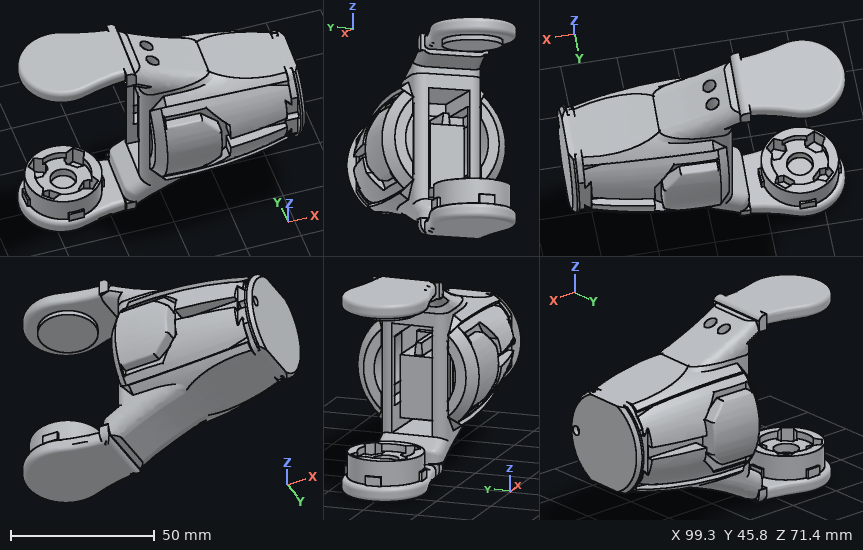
import cadquery as cq
import math

LINK_TILT = -1.6
SOCKET_TURN = 3.0

PADDLE_Z = 35.7
PADDLE_THICK = 5.5
PADDLE_ROUND = 1.8
PADDLE_RADIUS = 15.4
PADDLE_ARC_X = -0.6
PADDLE_SHOULDER = (4.2, 14.4)
PADDLE_WAIST = (11.3, 12.4)
PADDLE_ROOT = (21.4, 10.9)
HUB_RADIUS = 10.5
HUB_THICK = 1.8

SOCKET_RADIUS = 13.5
SOCKET_HEIGHT = 8.9
SOCKET_POCKET_RADIUS = 9.9
SOCKET_POCKET_DEPTH = 2.7
SOCKET_HOLE_RADIUS = 4.6
SOCKET_HOLE_DEPTH = 6.0
NOTCH_ROOT = (6.9, 2.1)
NOTCH_INNER = (8.4, 3.6)
NOTCH_OUTER = (12.4, 2.2)
NOTCH_DEPTH = 6.9
KEY_RADIUS = 14.2
KEY_WIDTH = 5.6
KEY_HEIGHT = 3.3
QUARTER_TURN = 90
NOTCH_START_ANGLE = 45

FRAME_WIDTH = 25.0
ARM_START_X = 19.3
COLLAR_TOP_X = 20.7
COLLAR_CREST = (22.0, 35.1)
COLLAR_FOOT = (22.8, 34.0)
COLLAR_BOTTOM_Z = 29.8
LOWER_COLLAR_ROUND = 4.0
SLOPE_TOP = (25.5, 33.7)
SLOPE_END = (39.8, 26.7)
CURVE_MID = (60.0, 20.3)
FRONT_X = 25.2
UPPER_ARM_UNDERSIDE = (28.6, 25.2)
LOWER_ARM_TOPSIDE = (-25.2, -21.7)
NOSE_ROUND = 1.5
TOP_ROUND = 5.5
POST_ROUND = 4.0
SPLIT_Z = 22.8
SCREW_X = 31.4
SCREW_Y = 3.7
SCREW_DIAMETER = 4.4

COVER_ANGLE = 50.0
BARREL_START = (27.8, 19.2)
COVER_SHOULDER = (31.2, 22.7)
COVER_MID = (55.6, 21.9)
COVER_END = (78.2, 17.7)
LIP_HEIGHT = 1.6
COVER_BORE_RADIUS = 15.2
HOOK_X = 76.0
HOOK_BASE = 8.7
HOOK_MOUTH = 6.6

GROOVE_FLOOR = 16.0
GROOVE_START_X = 31.8
GROOVE_OUTER = [(47.0, 15.1), (54.4, 7.6)]
GROOVE_INNER = [(45.0, 12.1), (51.3, 6.1)]
CHANNEL_HALF = 2.3
ISLAND_ROUND = 1.0

NECK_RADIUS = 18.1
NECK_FLAT = 15.7
NECK_GROOVE_RADIUS = 1.7
NECK_GROOVE_Y = 15.1
FLANGE_START_X = 80.6
FLANGE_END_X = 82.8
FLANGE_RADIUS = 19.1
FLANGE_HALF_HEIGHT = 16.2
FLANGE_CHAMFER = 1.4

POCKET_HALF_WIDTH = 7.5
POCKET_TOP = 17.8
POCKET_END_X = 47.2
DEEP_POCKET_BOTTOM = 12.4
SIDE_OPENING_X = (27.8, POCKET_END_X)
SIDE_OPENING_HALF = 12.5
SERVO_X = (28.8, 51.6)
SERVO_Y = -0.4
SERVO_WIDTH = 12.4
SERVO_Z = (-17.0, 5.8)
TAB_THICK = 2.5
TAB_X = POCKET_END_X - TAB_THICK
TAB_WIDTH = 12.7
TAB_Z = (-21.3, 10.2)
TAB_HOLE_Z = -19.8
TAB_HOLE_DIAMETER = 2.2
CABLE_X = 30.3
CABLE_Y = -0.5
CABLE_BASE_HALF = 1.5
CABLE_TOP_HALF = 1.0

FAR = 2 * PADDLE_Z
FAR_X = 99.3


def box(x_range, y_range, z_range):
    """Box between the given pairs of limits."""
    size = [abs(b - a) for a, b in (x_range, y_range, z_range)]
    centre = [(a + b) / 2 for a, b in (x_range, y_range, z_range)]
    return cq.Workplane("XY").box(*size).translate(tuple(centre))


def about_z(shape, angle):
    """Shape turned about the pivot axis."""
    return shape.rotate((0, 0, 0), (0, 0, 1), angle)


def paddle(bottom_z):
    """Keyhole-shaped plate with rounded rims."""
    shoulder_x, shoulder_y = PADDLE_SHOULDER
    waist_x, waist_y = PADDLE_WAIST
    root_x, root_y = PADDLE_ROOT
    plate = (
        cq.Workplane("XY")
        .workplane(offset=bottom_z)
        .moveTo(root_x, root_y)
        .threePointArc((waist_x, waist_y), (shoulder_x, shoulder_y))
        .threePointArc((PADDLE_ARC_X - PADDLE_RADIUS, 0), (shoulder_x, -shoulder_y))
        .threePointArc((waist_x, -waist_y), (root_x, -root_y))
        .close()
        .extrude(PADDLE_THICK)
    )
    return plate.faces("|Z").edges().fillet(PADDLE_ROUND)


def side_edges(solid, test):
    """Edges on the two flat sides of the frame block whose centre passes the test."""
    def chosen(edge):
        centre = edge.Center()
        return math.isclose(abs(centre.y), FRAME_WIDTH / 2, abs_tol=0.01) and test(centre)

    return solid.newObject([edge for edge in solid.edges().vals() if chosen(edge)])


def tapering_outline():
    """Outline in XZ of the link's back, closed by a straight front."""
    upper = [SLOPE_END, CURVE_MID, (FLANGE_START_X, FLANGE_HALF_HEIGHT)]
    lower = [(x, -z) for x, z in reversed([SLOPE_TOP] + upper)]
    return (
        cq.Workplane("XZ")
        .moveTo(ARM_START_X, SLOPE_TOP[1])
        .lineTo(*SLOPE_TOP)
        .spline(upper, includeCurrent=True)
        .lineTo(*lower[0])
        .spline(lower[1:], includeCurrent=True)
        .lineTo(ARM_START_X, -SLOPE_TOP[1])
        .close()
    )


def frame_block():
    """Tapering block with rounded long edges, its front cut back to rounded posts and arm roots."""
    block = tapering_outline().extrude(FRAME_WIDTH / 2, both=True)
    long_edges = side_edges(block, lambda c: c.x > SLOPE_TOP[0] and abs(c.z) > FLANGE_HALF_HEIGHT)
    block = long_edges.fillet(TOP_ROUND)
    front = (
        cq.Workplane("XZ")
        .moveTo(ARM_START_X, FAR)
        .lineTo(ARM_START_X, UPPER_ARM_UNDERSIDE[0])
        .lineTo(FRONT_X, UPPER_ARM_UNDERSIDE[1])
        .lineTo(FRONT_X, LOWER_ARM_TOPSIDE[1])
        .lineTo(ARM_START_X, LOWER_ARM_TOPSIDE[0])
        .lineTo(ARM_START_X, -FAR)
        .lineTo(FLANGE_END_X, -FAR)
        .lineTo(FLANGE_END_X, FAR)
        .close()
        .extrude(FRAME_WIDTH / 2, both=True)
    )
    nose = cq.selectors.NearestToPointSelector((ARM_START_X, 0, LOWER_ARM_TOPSIDE[0]))
    front = front.edges(nose).fillet(NOSE_ROUND)
    post_edges = side_edges(front, lambda c: ARM_START_X < c.x <= FRONT_X and abs(c.z) < PADDLE_Z)
    return block.intersect(post_edges.fillet(POST_ROUND))


def collar(side):
    """Cross bar where a paddle joins its arm; side is +1 for the top, -1 for the bottom."""
    crest_x, crest_z = COLLAR_CREST
    foot_x, foot_z = COLLAR_FOOT
    return (
        cq.Workplane("XZ")
        .moveTo(ARM_START_X, side * PADDLE_Z)
        .lineTo(COLLAR_TOP_X, side * PADDLE_Z)
        .threePointArc((crest_x, side * crest_z), (foot_x, side * foot_z))
        .lineTo(foot_x, side * COLLAR_BOTTOM_Z)
        .lineTo(ARM_START_X, side * COLLAR_BOTTOM_Z)
        .close()
        .extrude(FRAME_WIDTH / 2, both=True)
    )


def barrel(rise):
    """Solid of revolution about the X axis, raised evenly above the cover surface."""
    shoulder_x, shoulder_r = COVER_SHOULDER
    end_x, end_r = COVER_END
    return (
        cq.Workplane("XY")
        .moveTo(BARREL_START[0], 0)
        .lineTo(*BARREL_START)
        .lineTo(shoulder_x + rise, shoulder_r + rise)
        .threePointArc((COVER_MID[0], COVER_MID[1] + rise), (end_x, end_r + rise))
        .lineTo(end_x, 0)
        .close()
        .revolve(360, (0, 0, 0), (1, 0, 0))
    )


def cover_wedge():
    """Two opposite sectors about the X axis, centred on +Y and -Y, that hold the covers."""
    reach = 2 * FLANGE_RADIUS
    height = reach * math.tan(math.radians(COVER_ANGLE))
    profile = [(0, 0), (reach, height), (reach, -height)]
    wedge = cq.Workplane("YZ").polyline(profile).close().extrude(FLANGE_END_X)
    return wedge.union(wedge.mirror("XZ"))


def notch_prism():
    """Dovetail notch at the ends of the covers, running across the whole link."""
    end_x = COVER_END[0]
    outline = [(HOOK_X, HOOK_BASE), (end_x, HOOK_MOUTH), (end_x, -HOOK_MOUTH), (HOOK_X, -HOOK_BASE)]
    return cq.Workplane("XZ").polyline(outline).close().extrude(FLANGE_RADIUS, both=True)


def neck():
    """Round neck with two flats, a filler for the cover notches and the truncated end flange."""
    cover_end_x = COVER_END[0]
    heights = (-FLANGE_HALF_HEIGHT, FLANGE_HALF_HEIGHT)
    flats = box((0, FLANGE_END_X), (-NECK_FLAT, NECK_FLAT), heights)
    shaft = (
        cq.Workplane("YZ")
        .workplane(offset=cover_end_x)
        .circle(NECK_RADIUS)
        .extrude(FLANGE_START_X - cover_end_x)
    )
    flange = (
        cq.Workplane("YZ")
        .workplane(offset=FLANGE_START_X)
        .circle(FLANGE_RADIUS)
        .extrude(FLANGE_END_X - FLANGE_START_X)
        .faces(">X")
        .chamfer(FLANGE_CHAMFER)
    )
    limits = box((0, FLANGE_END_X), (-FLANGE_RADIUS, FLANGE_RADIUS), heights)
    body = shaft.intersect(flats).union(notch_prism().intersect(flats))
    return body.union(flange.intersect(limits))


def neck_groove():
    """Round groove along X through the neck and flange on the -Y side."""
    return (
        cq.Workplane("YZ")
        .workplane(offset=HOOK_X)
        .center(-NECK_GROOVE_Y, 0)
        .circle(NECK_GROOVE_RADIUS)
        .extrude(FLANGE_END_X - HOOK_X)
    )


def servo_case():
    """Plain case of the servo, which also shapes its seat in the frame."""
    return box(SERVO_X, (SERVO_Y - SERVO_WIDTH / 2, SERVO_Y + SERVO_WIDTH / 2), SERVO_Z)


def servo_space():
    """Pocket open to the front, with a seat for the servo and an opening through each side wall."""
    widths = (-POCKET_HALF_WIDTH, POCKET_HALF_WIDTH)
    pocket = box((ARM_START_X, POCKET_END_X), widths, (LOWER_ARM_TOPSIDE[1], POCKET_TOP))
    deep_pocket = box((ARM_START_X, SERVO_X[1]), widths, (DEEP_POCKET_BOTTOM, POCKET_TOP))
    openings = box(
        SIDE_OPENING_X, (-FRAME_WIDTH / 2, FRAME_WIDTH / 2), (-SIDE_OPENING_HALF, SIDE_OPENING_HALF)
    )
    return pocket.union(openings).union(deep_pocket).union(servo_case())


def link_body():
    """Frame and upper arm together, before they are parted at the joint."""
    lips = barrel(LIP_HEIGHT).cut(cover_wedge())
    outline = tapering_outline().extrude(2 * FLANGE_RADIUS, both=True)
    lower_collar = collar(-1).faces("<Z").edges("|X").fillet(LOWER_COLLAR_ROUND)
    body = frame_block().union(lips.intersect(outline)).union(neck())
    body = body.union(collar(1)).union(lower_collar).cut(neck_groove())
    body = body.union(paddle(PADDLE_Z - PADDLE_THICK)).union(paddle(-PADDLE_Z))
    return body.cut(servo_space())


def joint_space():
    """Everything above the joint."""
    return box((-FAR_X, FAR_X), (-FAR, FAR), (SPLIT_Z, FAR))


def make_frame(body):
    """Frame with the lower paddle: the part of the link below the joint."""
    return body.cut(joint_space())


def make_upper_arm(body):
    """Upper arm with its paddle, hub disc and two screw holes."""
    hub_top = PADDLE_Z - PADDLE_THICK
    hub = cq.Workplane("XY").workplane(offset=hub_top - HUB_THICK).circle(HUB_RADIUS).extrude(HUB_THICK)
    screws = (
        cq.Workplane("XY")
        .workplane(offset=SPLIT_Z)
        .pushPoints([(SCREW_X, SCREW_Y), (SCREW_X, -SCREW_Y)])
        .circle(SCREW_DIAMETER / 2)
        .extrude(PADDLE_Z)
    )
    return body.intersect(joint_space()).union(hub).cut(screws)


def groove_prism(upper):
    """Prism outward from the groove floor on the -Y side; its upper half is mirrored about Z = 0."""
    outline = upper + [(x, -z) for x, z in reversed(upper)]
    prism = cq.Workplane("XZ").workplane(offset=GROOVE_FLOOR).polyline(outline).close()
    return prism.extrude(FLANGE_RADIUS)


def make_cover():
    """Cover on the -Y side: a barrel sector, bored out, with a groove around a rounded island."""
    reach = 2 * FLANGE_RADIUS
    room = box((0, FLANGE_END_X), (-reach, -FRAME_WIDTH / 2), (-reach, reach))
    bore = cq.Workplane("YZ").circle(COVER_BORE_RADIUS).extrude(FLANGE_END_X)
    plain = barrel(0).intersect(cover_wedge()).intersect(room).cut(bore).cut(notch_prism())

    channel = [(GROOVE_OUTER[-1][0], CHANNEL_HALF), (FLANGE_END_X, CHANNEL_HALF)]
    groove = groove_prism([(GROOVE_START_X, GROOVE_OUTER[0][1])] + GROOVE_OUTER + channel)
    island = plain.intersect(groove_prism([(GROOVE_START_X, GROOVE_INNER[0][1])] + GROOVE_INNER))
    island = island.faces("<Y").edges("not <X").fillet(ISLAND_ROUND)
    return plain.cut(groove).union(island)


def make_socket():
    """Coupling ring with four notches inside and four keys around its foot."""
    ring = cq.Workplane("XY").circle(SOCKET_RADIUS).extrude(SOCKET_HEIGHT)
    key = box((0, KEY_RADIUS), (-KEY_WIDTH / 2, KEY_WIDTH / 2), (0, KEY_HEIGHT))
    half_outline = [NOTCH_ROOT, NOTCH_INNER, NOTCH_OUTER]
    notch = (
        cq.Workplane("XY")
        .workplane(offset=SOCKET_HEIGHT - NOTCH_DEPTH)
        .polyline(half_outline + [(x, -y) for x, y in reversed(half_outline)])
        .close()
        .extrude(NOTCH_DEPTH)
    )
    pocket_floor = SOCKET_HEIGHT - SOCKET_POCKET_DEPTH
    pocket = (
        cq.Workplane("XY")
        .workplane(offset=pocket_floor)
        .circle(SOCKET_POCKET_RADIUS)
        .extrude(SOCKET_POCKET_DEPTH)
    )
    hole = (
        cq.Workplane("XY")
        .workplane(offset=SOCKET_HEIGHT - SOCKET_HOLE_DEPTH)
        .circle(SOCKET_HOLE_RADIUS)
        .extrude(SOCKET_HOLE_DEPTH)
    )
    for turn in range(4):
        ring = ring.union(about_z(key, QUARTER_TURN * turn))
    for turn in range(4):
        ring = ring.cut(about_z(notch, QUARTER_TURN * turn + NOTCH_START_ANGLE))
    ring = ring.cut(pocket).cut(hole)
    return about_z(ring, SOCKET_TURN).translate((0, 0, PADDLE_THICK - PADDLE_Z))


def make_servo():
    """Micro servo lying along X: case, mounting tabs with a screw hole, and cable outlet."""
    tabs = box((TAB_X, POCKET_END_X), (SERVO_Y - TAB_WIDTH / 2, SERVO_Y + TAB_WIDTH / 2), TAB_Z)
    hole = (
        cq.Workplane("YZ")
        .center(SERVO_Y, TAB_HOLE_Z)
        .circle(TAB_HOLE_DIAMETER / 2)
        .extrude(POCKET_END_X)
    )
    case_top = SERVO_Z[1]
    tab_top = TAB_Z[1]
    outlet_outline = [
        (CABLE_Y - CABLE_BASE_HALF, case_top),
        (CABLE_Y + CABLE_BASE_HALF, case_top),
        (CABLE_Y + CABLE_TOP_HALF, tab_top),
        (CABLE_Y - CABLE_TOP_HALF, tab_top),
    ]
    outlet = (
        cq.Workplane("YZ")
        .workplane(offset=CABLE_X)
        .polyline(outlet_outline)
        .close()
        .extrude(TAB_X - CABLE_X)
    )
    return servo_case().union(tabs.cut(hole)).union(outlet)


link = link_body()
frame = make_frame(link)
upper_arm = make_upper_arm(link)
front_cover = make_cover()
covers = [front_cover, front_cover.mirror("XZ")]
socket = make_socket()
servo = make_servo()

bodies = [frame, upper_arm, *covers, socket, servo]
solids = [solid for body in bodies for solid in about_z(body, LINK_TILT).val().Solids()]
result = cq.Compound.makeCompound(solids)